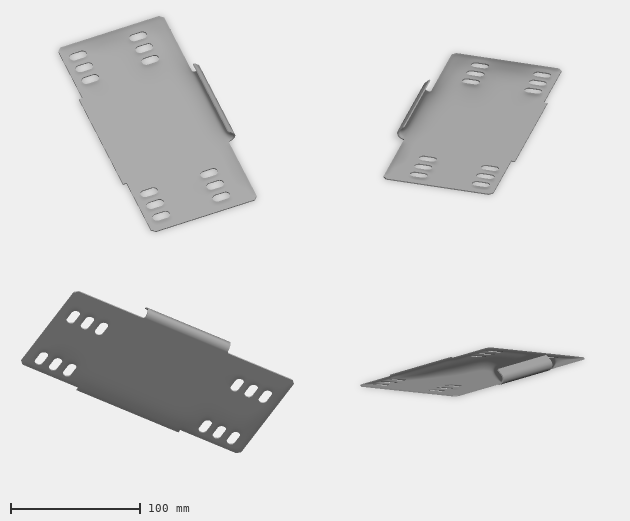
import cadquery as cq
import math

sheet = 1.0
plate_length = 195.0
plate_width = 88.1
corner_chamfer = 3.0

lip_length = 90.0
lip_depth = 3.0

tab_length = 73.0
tab_reach = 5.8
bend_radius = 5.0
bend_angle = 135.0
hook_height = 12.5
tip_fillet = 1.5
root_fillet = 2.0

slot_length = 14.0
slot_width = 7.0
slot_pitch = 12.5
slots_per_group = 3
group_x = 72.5
group_y = 25.0
slot_shift_y = -6.5


def make_plate():
    plate = cq.Workplane("XY").box(plate_length, plate_width, sheet, centered=(True, True, False))
    return plate.edges("|Z").chamfer(corner_chamfer)


def make_lip():
    overlap = lip_depth
    lip = cq.Workplane("XY").box(lip_length, lip_depth + overlap, sheet, centered=(True, True, False))
    return lip.translate((0, -plate_width / 2, 0))


def make_tab():
    """Sheet strip that leaves the plate, curls up and leans back over it."""
    center_y = plate_width / 2 + tab_reach - bend_radius
    center_z = bend_radius
    inner_radius = bend_radius - sheet
    end_angle = math.radians(bend_angle - 90)
    mid_angle = math.radians(bend_angle / 2 - 90)
    bend_top = center_z + bend_radius * math.sin(end_angle)
    leg_length = (hook_height - bend_top) / math.cos(end_angle)
    root_y = plate_width / 2 - sheet

    def on_bend(radius, angle):
        return (center_y + radius * math.cos(angle), center_z + radius * math.sin(angle))

    def leg_end(radius):
        y, z = on_bend(radius, end_angle)
        return (y - leg_length * math.sin(end_angle), z + leg_length * math.cos(end_angle))

    profile = (
        cq.Workplane("YZ")
        .moveTo(root_y, 0)
        .lineTo(center_y, 0)
        .threePointArc(on_bend(bend_radius, mid_angle), on_bend(bend_radius, end_angle))
        .lineTo(*leg_end(bend_radius))
        .lineTo(*leg_end(inner_radius))
        .lineTo(*on_bend(inner_radius, end_angle))
        .threePointArc(on_bend(inner_radius, mid_angle), (center_y, sheet))
        .lineTo(root_y, sheet)
        .close()
    )
    tab = profile.extrude(tab_length / 2, both=True)
    tip_y, tip_z = leg_end(bend_radius - sheet / 2)
    for corner_x in (-tab_length / 2, tab_length / 2):
        tip_corner = cq.selectors.NearestToPointSelector((corner_x, tip_y, tip_z))
        tab = tab.edges(tip_corner).fillet(tip_fillet)
    return tab


def make_slots():
    """Cutters for four groups of slots running along Y."""
    centers = []
    for side_x in (-1, 1):
        for side_y in (-1, 1):
            for index in range(slots_per_group):
                offset = (index - (slots_per_group - 1) / 2) * slot_pitch
                centers.append((side_x * group_x + offset, slot_shift_y + side_y * group_y))
    return cq.Workplane("XY").pushPoints(centers).slot2D(slot_length, slot_width, 90).extrude(sheet)


def round_tab_root(body):
    """Round the two inner corners where the tab leaves the plate edge."""
    for corner_x in (-tab_length / 2, tab_length / 2):
        root_corner = cq.selectors.NearestToPointSelector((corner_x, plate_width / 2, sheet / 2))
        body = body.edges("|Z").edges(root_corner).fillet(root_fillet)
    return body


body = round_tab_root(make_plate().union(make_lip()).union(make_tab()))
result = body.cut(make_slots())